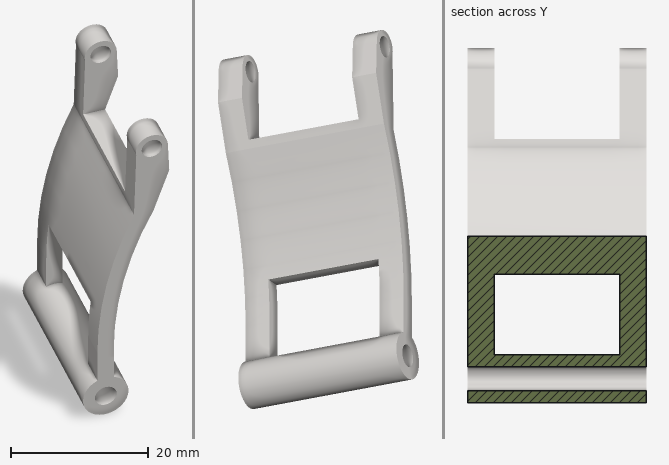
import cadquery as cq
import math

width = 26.0
height = 51.55
opening_width = 18.1

barrel_diameter = 7.0
barrel_bore = 3.35
ear_radius = 2.5
ear_bore = 3.15
ear_y = 7.1
ear_front_drop = 0.55
ear_z = height - barrel_diameter / 2 - ear_radius

plate_thickness = 2.55
front_y = -1.3
back_y = front_y + plate_thickness
bend_start_z = 8.65
front_bend_radius = 57.75
back_bend_radius = 53.6
bend_top_z = 33.55

heel_y = 9.8
heel_z = 40.6

window_top_z = 15.15
notch_floor_z = 34.8


def bend_y(face_y, radius, z):
    """Y of a bent plate face at height z."""
    rise = z - bend_start_z
    return face_y + radius - math.sqrt(radius**2 - rise**2)


def bend_point(face_y, radius, z):
    return (bend_y(face_y, radius, z), z)


def extrude_across(sketch, length):
    """Extrude a YZ sketch symmetrically about the middle of the part."""
    return sketch.extrude(length / 2, both=True)


def disc(y, z, diameter):
    return extrude_across(cq.Workplane("YZ").center(y, z).circle(diameter / 2), width)


def side_profile():
    bend_middle_z = (bend_start_z + bend_top_z) / 2
    ear_front_y = ear_y - math.sqrt(ear_radius**2 - ear_front_drop**2)
    sketch = (
        cq.Workplane("YZ")
        .moveTo(front_y, 0)
        .lineTo(front_y, bend_start_z)
        .threePointArc(
            bend_point(front_y, front_bend_radius, bend_middle_z),
            bend_point(front_y, front_bend_radius, bend_top_z),
        )
        .lineTo(ear_front_y, ear_z - ear_front_drop)
        .threePointArc((ear_y, ear_z + ear_radius), (ear_y + ear_radius, ear_z))
        .lineTo(heel_y, heel_z)
        .lineTo(*bend_point(back_y, back_bend_radius, bend_top_z))
        .threePointArc(
            bend_point(back_y, back_bend_radius, bend_middle_z),
            (back_y, bend_start_z),
        )
        .lineTo(back_y, 0)
        .close()
    )
    return extrude_across(sketch, width)


def window():
    """Rectangular opening from the barrel axis up to the plate."""
    return cq.Workplane("XY").rect(opening_width, 2 * heel_y).extrude(window_top_z)


def ear_notch():
    """Flat-floored gap between the ears, open at the top."""
    return (
        cq.Workplane("XY")
        .workplane(offset=notch_floor_z)
        .rect(opening_width, 4 * heel_y)
        .extrude(ear_z + ear_radius - notch_floor_z)
    )


result = (
    side_profile()
    .cut(window())
    .cut(ear_notch())
    .union(disc(0, 0, barrel_diameter))
    .cut(disc(0, 0, barrel_bore))
    .cut(disc(ear_y, ear_z, ear_bore))
)